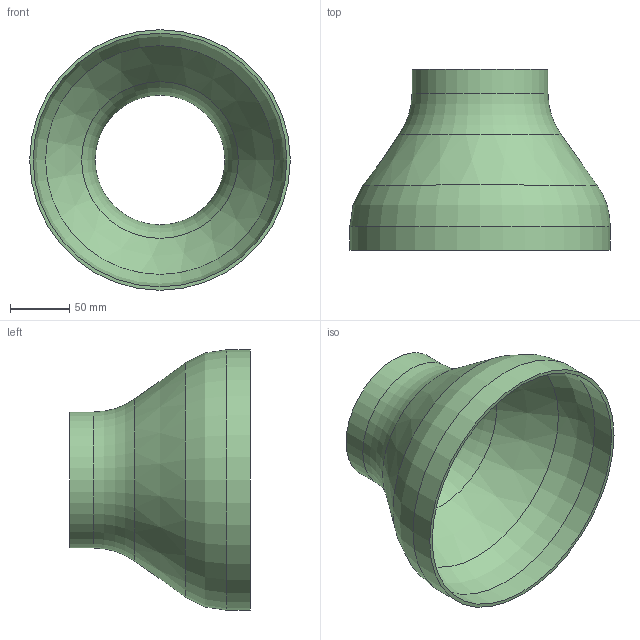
import cadquery as cq
import math

length = 152.0
collar_length = 20.0
wide_outer_radius = 219.1 / 2
wide_inner_radius = 213.3 / 2
narrow_outer_radius = 114.3 / 2
narrow_inner_radius = 109.1 / 2
outer_bend_radius = 60.0

wide_wall = wide_outer_radius - wide_inner_radius
narrow_wall = narrow_outer_radius - narrow_inner_radius
inner_wide_bend_radius = outer_bend_radius - wide_wall
inner_narrow_bend_radius = outer_bend_radius + narrow_wall

neck_start = length - collar_length
taper_length = neck_start - collar_length


def cone_half_angle(drop, bend_radius_sum):
    """Half-angle of the straight cone that is tangent to both bends.

    The line between the two bend centres spans taper_length axially and
    bend_radius_sum - drop radially, and the common tangent touches arcs whose
    radii add up to bend_radius_sum.
    """
    radial_span = bend_radius_sum - drop
    centre_distance = math.hypot(taper_length, radial_span)
    return math.atan2(taper_length, radial_span) - math.acos(bend_radius_sum / centre_distance)


def revolved_reducer(wide_radius, narrow_radius, wide_bend_radius, narrow_bend_radius):
    """Solid of revolution: collar, convex bend, cone, concave bend, collar."""
    drop = wide_radius - narrow_radius
    angle = cone_half_angle(drop, wide_bend_radius + narrow_bend_radius)

    def convex_point(turn):
        radius = wide_radius - wide_bend_radius * (1 - math.cos(turn))
        return radius, collar_length + wide_bend_radius * math.sin(turn)

    def concave_point(turn):
        radius = narrow_radius + narrow_bend_radius * (1 - math.cos(turn))
        return radius, neck_start - narrow_bend_radius * math.sin(turn)

    profile = (
        cq.Workplane("XY")
        .lineTo(wide_radius, 0)
        .lineTo(wide_radius, collar_length)
        .threePointArc(convex_point(angle / 2), convex_point(angle))
        .lineTo(*concave_point(angle))
        .threePointArc(concave_point(angle / 2), (narrow_radius, neck_start))
        .lineTo(narrow_radius, length)
        .lineTo(0, length)
        .close()
    )
    return profile.revolve(360, (0, 0, 0), (0, 1, 0))


outer_body = revolved_reducer(
    wide_outer_radius, narrow_outer_radius, outer_bend_radius, outer_bend_radius
)
inner_bore = revolved_reducer(
    wide_inner_radius, narrow_inner_radius, inner_wide_bend_radius, inner_narrow_bend_radius
)
result = outer_body.cut(inner_bore)